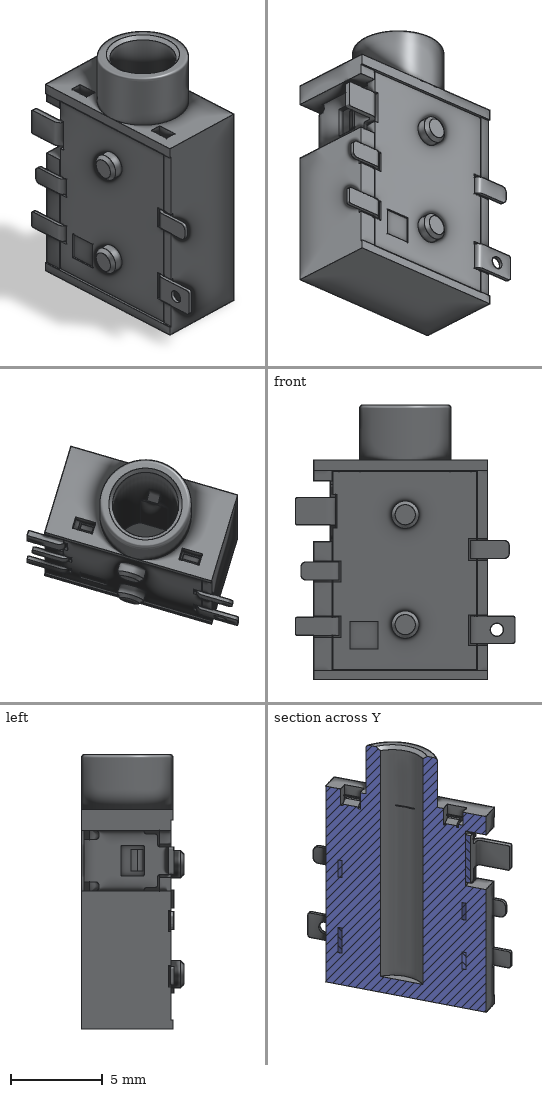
import cadquery as cq
import math


LEFT_X = -5.0
RIGHT_X = 4.5
BACK_Y = 2.5
RIM_Y = -BACK_Y
FRONT_Y = -2.4
BODY_TOP = 12.0
RIM_BOTTOM_Z = 0.5
RIM_TOP_Z = 11.4

SLEEVE_R = 2.5
SLEEVE_TOP = 15.0
SLEEVE_FILLET = 0.2
BORE_R = 1.8
BORE_FLOOR = 1.0
BORE_CHAMFER = 0.2
BORE_FLAT_Y = 1.62
BORE_FLAT_TOP = 7.4
BORE_FLAT_LEAD = 0.18

COVER_LEFT = -3.95
COVER_RIGHT = 3.9
COVER_GAP = 0.05
COVER_BACK_Y = -1.77

PEG_R = 0.75
PEG_END_Y = -3.1
PEG_CHAMFER = 0.2
PEG_HEIGHTS = (3.0, 9.0)

LABEL_X = -2.25
LABEL_Z = 2.42
LABEL_SIZE = 1.52
LABEL_DEPTH = 0.1

SLOT_BACK_Y = -1.2
SLOT_FRONT_Y = -1.85
SLOT_FLOOR = 11.0
LEFT_SLOT = (-3.62, -2.48)
RIGHT_SLOT = (2.45, 3.6)
LEFT_HOOK = (-3.26, -2.57)
RIGHT_HOOK = (2.57, 3.48)
HOOK_BACK_Y = -1.3
HOOK_RAMP_Y = -1.64
HOOK_FRONT_Y = -1.8
HOOK_TOP = 11.3
HOOK_RAMP_BASE = 11.1
LEFT_LEDGE_X = -3.36
LEFT_LEDGE_TOP = 11.2

WINDOW_MID = 9.19
WINDOW_HEIGHT = 3.32
WINDOW_TOP = WINDOW_MID + WINDOW_HEIGHT / 2
WINDOW_BOTTOM = WINDOW_MID - WINDOW_HEIGHT / 2
WINDOW_BACK_X = -3.55

PLATE_T = 0.3
PLATE_X = -4.1
PLATE_INNER_X = PLATE_X + PLATE_T
TERMINAL_FRONT_Y = -2.55
TIP_X = 6.0
FRONT_BEND_R = 0.5
BACK_BEND_R = 0.67
BACK_STRIP_Y = 2.35
BACK_STRIP_END_X = 0.6
BACK_STRIP_HALF = 1.155
SHOULDER_Y = -0.92
SHOULDER_HALF = 1.46
NECK_Y = -1.66
SLEEVE_LEG_WIDTH = 1.5
SHOULDER_FILLET = 0.15
RELIEF_Y = 1.53
PLATE_OPENING = (-0.93, 0.345)
PLATE_OPENING_HEIGHT = 1.67
OPENING_FILLET = 0.08
SLEEVE_LEG_CORNER = 0.1
SLEEVE_NOTCH_X = -3.73
SLEEVE_NOTCH_GAP = 0.165

TONGUE_WIDTH = 0.65
TONGUE_TIP_Y = 1.32
TONGUE_HALF_HEIGHT = 1.0

RIDGE_BACK_Y = -0.2
RIDGE_MID_Y = -0.565
RIDGE_FRONT_Y = -0.87
RIDGE_HEIGHT = 0.12
RIDGE_LENGTH = 1.16
RIDGE_Z = 9.21

LEG_T = 0.2
LEG_BEND_R = 0.4
RISER_END_Y = 0.0
LEFT_RISER = 3.6
RIGHT_RISER = 3.55
NARROW_LEG = 1.0
WIDE_LEG = 1.5
LEG_NOTCH_Y = -2.26
NOTCH_END_GAP = 0.1
SMALL_GAP = 0.05
WIDE_GAP = 0.1
LEG_HOLE_X = 5.0
LEG_HOLE_R = 0.35

CONTACTS = (
    (-1, LEFT_RISER, 5.7, 5.43, NARROW_LEG, 0.3, SMALL_GAP, False),
    (-1, LEFT_RISER, TIP_X, 2.41, NARROW_LEG, 0.12, SMALL_GAP, False),
    (1, RIGHT_RISER, 5.68, 6.6, NARROW_LEG, 0.3, WIDE_GAP, False),
    (1, RIGHT_RISER, TIP_X, 1.97, WIDE_LEG, 0.15, SMALL_GAP, True),
)


def box(x0, x1, y0, y1, z0, z1):
    """Box between two opposite corners."""
    return cq.Workplane("XY").box(x1 - x0, y1 - y0, z1 - z0, centered=False).translate((x0, y0, z0))


def arc_middle(cx, cy, r, angle):
    """Point on a circle at an angle in degrees."""
    a = math.radians(angle)
    return (cx + r * math.cos(a), cy + r * math.sin(a))


def contact_terminal(side, riser, tip, low, width, corner, hole):
    """L-shaped contact: a flat leg at the front and a riser going back into the housing."""
    bend_x = riser + LEG_BEND_R
    bend_y = TERMINAL_FRONT_Y + LEG_BEND_R
    inner_r = LEG_BEND_R - LEG_T
    leg = (
        cq.Workplane("XY", origin=(0, 0, low))
        .moveTo(tip, TERMINAL_FRONT_Y)
        .lineTo(bend_x, TERMINAL_FRONT_Y)
        .threePointArc(arc_middle(bend_x, bend_y, LEG_BEND_R, 225), (riser, bend_y))
        .lineTo(riser, RISER_END_Y)
        .lineTo(riser + LEG_T, RISER_END_Y)
        .lineTo(riser + LEG_T, bend_y)
        .threePointArc(arc_middle(bend_x, bend_y, inner_r, 225), (bend_x, TERMINAL_FRONT_Y + LEG_T))
        .lineTo(tip, TERMINAL_FRONT_Y + LEG_T)
        .close()
        .extrude(width)
        .faces(">X").edges("|Y").fillet(corner)
    )
    if hole:
        drill = cq.Workplane("XZ").center(LEG_HOLE_X, low + width / 2).circle(LEG_HOLE_R)
        leg = leg.cut(drill.extrude(-TERMINAL_FRONT_Y))
    return leg.mirror("YZ") if side < 0 else leg


def contact_notch(side, riser, low, width, top_gap):
    """Shallow channel in the front of the housing that clears one leg."""
    start = riser - NOTCH_END_GAP
    end = -LEFT_X if side < 0 else RIGHT_X
    x0, x1 = sorted((side * start, side * end))
    return box(x0, x1, RIM_Y, LEG_NOTCH_Y, low - WIDE_GAP, low + width + top_gap)


def sleeve_strip():
    """Bent sheet of the sleeve terminal at full window height, before its edges are trimmed."""
    fx = PLATE_INNER_X - FRONT_BEND_R
    fy = TERMINAL_FRONT_Y + FRONT_BEND_R
    bx = PLATE_X + BACK_BEND_R
    by = BACK_STRIP_Y - BACK_BEND_R
    return (
        cq.Workplane("XY", origin=(0, 0, WINDOW_BOTTOM))
        .moveTo(-TIP_X, TERMINAL_FRONT_Y)
        .lineTo(fx, TERMINAL_FRONT_Y)
        .threePointArc(arc_middle(fx, fy, FRONT_BEND_R, -45), (PLATE_INNER_X, fy))
        .lineTo(PLATE_INNER_X, by)
        .threePointArc(
            arc_middle(bx, by, BACK_BEND_R - PLATE_T, 135), (bx, BACK_STRIP_Y - PLATE_T))
        .lineTo(BACK_STRIP_END_X, BACK_STRIP_Y - PLATE_T)
        .lineTo(BACK_STRIP_END_X, BACK_STRIP_Y)
        .lineTo(bx, BACK_STRIP_Y)
        .threePointArc(arc_middle(bx, by, BACK_BEND_R, 135), (PLATE_X, by))
        .lineTo(PLATE_X, fy)
        .threePointArc(
            arc_middle(fx, fy, FRONT_BEND_R - PLATE_T, -45), (fx, TERMINAL_FRONT_Y + PLATE_T))
        .lineTo(-TIP_X, TERMINAL_FRONT_Y + PLATE_T)
        .close()
        .extrude(WINDOW_HEIGHT)
    )


def sleeve_outline():
    """Side outline of the sleeve terminal, symmetric about the middle of the window."""
    relief_start_y = BACK_STRIP_Y - BACK_BEND_R
    full_half = WINDOW_HEIGHT / 2
    leg_half = SLEEVE_LEG_WIDTH / 2
    relief_mid = (BACK_STRIP_HALF + full_half) / 2
    half = (
        cq.Workplane("YZ", origin=(0, 0, WINDOW_MID))
        .moveTo(BACK_Y, 0)
        .lineTo(BACK_Y, BACK_STRIP_HALF)
        .lineTo(relief_start_y, BACK_STRIP_HALF)
        .threePointArc((RELIEF_Y, relief_mid), (relief_start_y, full_half))
        .lineTo(SHOULDER_Y, full_half)
        .lineTo(SHOULDER_Y, SHOULDER_HALF)
        .lineTo(NECK_Y, SHOULDER_HALF)
        .lineTo(NECK_Y, leg_half)
        .lineTo(TERMINAL_FRONT_Y, leg_half)
        .lineTo(TERMINAL_FRONT_Y, 0)
        .close()
        .extrude(TIP_X, both=True)
    )
    rounded = half.edges(cq.selectors.BoxSelector(
        (-2 * TIP_X, NECK_Y - SHOULDER_FILLET, WINDOW_MID + leg_half - SHOULDER_FILLET),
        (2 * TIP_X, SHOULDER_Y + SHOULDER_FILLET, WINDOW_MID + SHOULDER_HALF + SHOULDER_FILLET),
    )).edges("|X").fillet(SHOULDER_FILLET)
    return rounded.union(rounded.mirror("XY", (0, 0, WINDOW_MID)))


def tongue():
    """V-shaped spring tongue reaching from the back strip into the bore."""
    root_y = BACK_STRIP_Y - PLATE_T
    return (
        cq.Workplane("YZ", origin=(-TONGUE_WIDTH / 2, 0, WINDOW_MID))
        .moveTo(root_y, TONGUE_HALF_HEIGHT)
        .lineTo(TONGUE_TIP_Y, 0)
        .lineTo(root_y, -TONGUE_HALF_HEIGHT)
        .lineTo(root_y, PLATE_T - TONGUE_HALF_HEIGHT)
        .lineTo(TONGUE_TIP_Y + PLATE_T, 0)
        .lineTo(root_y, TONGUE_HALF_HEIGHT - PLATE_T)
        .close()
        .extrude(TONGUE_WIDTH)
    )


def sleeve_terminal():
    """Sleeve contact: leg, side plate with an opening, back strip and spring tongue."""
    y0, y1 = PLATE_OPENING
    half = PLATE_OPENING_HEIGHT / 2
    opening = box(
        PLATE_X, PLATE_INNER_X, y0, y1, WINDOW_MID - half, WINDOW_MID + half
    ).edges("|X").fillet(OPENING_FILLET)
    sheet = sleeve_strip().intersect(sleeve_outline())
    sheet = sheet.faces("<X").edges("|Y").fillet(SLEEVE_LEG_CORNER)
    return sheet.cut(opening).union(tongue())


def housing_block():
    """Outer block with front rims, plug sleeve and bore."""
    block = box(LEFT_X, RIGHT_X, RIM_Y, BACK_Y, 0, BODY_TOP)
    block = block.cut(box(LEFT_X, RIGHT_X, RIM_Y, FRONT_Y, RIM_BOTTOM_Z, RIM_TOP_Z))
    sleeve = (
        cq.Workplane("XY", origin=(0, 0, BODY_TOP)).circle(SLEEVE_R).extrude(SLEEVE_TOP - BODY_TOP)
        .faces(">Z").edges().fillet(SLEEVE_FILLET)
    )
    bore = cq.Workplane("XY", origin=(0, 0, BORE_FLOOR)).circle(BORE_R).extrude(SLEEVE_TOP - BORE_FLOOR)
    flat = (
        cq.Workplane("YZ", origin=(-BORE_R, 0, 0))
        .moveTo(BORE_FLAT_Y, BORE_FLOOR)
        .lineTo(BORE_R, BORE_FLOOR)
        .lineTo(BORE_R, BORE_FLAT_TOP)
        .lineTo(BORE_FLAT_Y, BORE_FLAT_TOP - BORE_FLAT_LEAD)
        .close()
        .extrude(2 * BORE_R)
    )
    bore = bore.cut(flat)
    mouth = (
        cq.Workplane("XY", origin=(0, 0, SLEEVE_TOP)).circle(BORE_R + BORE_CHAMFER)
        .workplane(offset=-BORE_CHAMFER).circle(BORE_R).loft()
    )
    return block.union(sleeve).cut(bore).cut(mouth)


def cover_groove():
    """Narrow groove that frames the front cover."""
    bottom = RIM_BOTTOM_Z + COVER_GAP
    top = RIM_TOP_Z - COVER_GAP
    outer = box(COVER_LEFT - COVER_GAP, COVER_RIGHT + COVER_GAP, FRONT_Y, COVER_BACK_Y,
                RIM_BOTTOM_Z, RIM_TOP_Z)
    return outer.cut(box(COVER_LEFT, COVER_RIGHT, FRONT_Y, COVER_BACK_Y, bottom, top))


def peg(z):
    """Locating peg with a chamfered end."""
    return (
        cq.Workplane("XZ", origin=(0, FRONT_Y, z)).circle(PEG_R).extrude(FRONT_Y - PEG_END_Y)
        .faces("<Y").edges().chamfer(PEG_CHAMFER)
    )


def latch_slot(span):
    """Rectangular slot in the top face."""
    return box(*span, SLOT_FRONT_Y, SLOT_BACK_Y, SLOT_FLOOR, BODY_TOP)


def latch_hook(span):
    """Hook at the bottom of a latch slot, with its top ramped toward the back."""
    return (
        cq.Workplane("YZ", origin=(span[0], 0, 0))
        .moveTo(HOOK_FRONT_Y, SLOT_FLOOR)
        .lineTo(HOOK_BACK_Y, SLOT_FLOOR)
        .lineTo(HOOK_BACK_Y, HOOK_RAMP_BASE)
        .lineTo(HOOK_RAMP_Y, HOOK_TOP)
        .lineTo(HOOK_FRONT_Y, HOOK_TOP)
        .close()
        .extrude(span[1] - span[0])
    )


def window_cut():
    """Side window: open front and back, stepped around the cover, the plate and the back strip."""
    z = (WINDOW_BOTTOM, WINDOW_TOP)
    bend_x = PLATE_X + BACK_BEND_R
    bend_y = BACK_STRIP_Y - BACK_BEND_R
    cut = box(LEFT_X, COVER_LEFT, RIM_Y, BACK_Y, *z)
    cut = cut.union(box(LEFT_X, PLATE_INNER_X, COVER_BACK_Y, BACK_Y, *z))
    cut = cut.union(box(LEFT_X, WINDOW_BACK_X, bend_y, BACK_Y, *z))
    cut = cut.union(box(LEFT_X, BACK_STRIP_END_X, bend_y, BACK_STRIP_Y, *z).cut(
        box(bend_x, BACK_STRIP_END_X, bend_y, BACK_STRIP_Y - PLATE_T, *z)))
    core = cq.Workplane("XY", origin=(bend_x, bend_y, z[0])).circle(BACK_BEND_R - PLATE_T)
    return cut.cut(core.extrude(WINDOW_HEIGHT))


def window_ridge():
    """Low ridge on the wall behind the plate opening."""
    return (
        cq.Workplane("XY", origin=(0, 0, RIDGE_Z - RIDGE_LENGTH / 2))
        .moveTo(PLATE_INNER_X, RIDGE_BACK_Y)
        .lineTo(PLATE_INNER_X - RIDGE_HEIGHT, RIDGE_MID_Y)
        .lineTo(PLATE_INNER_X, RIDGE_FRONT_Y)
        .close()
        .extrude(RIDGE_LENGTH)
    )


def sleeve_leg_notch():
    """Notch in the left edge of the cover where the sleeve terminal's leg comes out."""
    half = SLEEVE_LEG_WIDTH / 2 + SLEEVE_NOTCH_GAP
    return box(COVER_LEFT, SLEEVE_NOTCH_X, FRONT_Y, COVER_BACK_Y, WINDOW_MID - half, WINDOW_MID + half)


def tongue_opening():
    """Opening in the bore wall for the spring tongue to move in."""
    half = TONGUE_WIDTH / 2
    return box(-half, half, 0, BACK_STRIP_Y - PLATE_T,
               WINDOW_MID - TONGUE_HALF_HEIGHT, WINDOW_MID + TONGUE_HALF_HEIGHT)


terminals = [sleeve_terminal()]
for side, riser, tip, low, width, corner, _, hole in CONTACTS:
    terminals.append(contact_terminal(side, riser, tip, low, width, corner, hole))

label_half = LABEL_SIZE / 2
housing = housing_block().cut(cover_groove())
housing = housing.cut(window_cut()).union(window_ridge())
housing = housing.cut(sleeve_leg_notch()).cut(tongue_opening())
housing = housing.cut(box(
    LABEL_X - label_half, LABEL_X + label_half, FRONT_Y, FRONT_Y + LABEL_DEPTH,
    LABEL_Z - label_half, LABEL_Z + label_half))
for slot, hook in ((LEFT_SLOT, LEFT_HOOK), (RIGHT_SLOT, RIGHT_HOOK)):
    housing = housing.cut(latch_slot(slot)).union(latch_hook(hook))
housing = housing.union(box(
    LEFT_SLOT[0], LEFT_LEDGE_X, SLOT_FRONT_Y, SLOT_BACK_Y, SLOT_FLOOR, LEFT_LEDGE_TOP))
for height in PEG_HEIGHTS:
    housing = housing.union(peg(height))
for side, riser, _, low, width, _, top_gap, _ in CONTACTS:
    housing = housing.cut(contact_notch(side, riser, low, width, top_gap))
for terminal in terminals:
    housing = housing.cut(terminal, clean=False)

result = cq.Compound.makeCompound([housing.val()] + [terminal.val() for terminal in terminals])